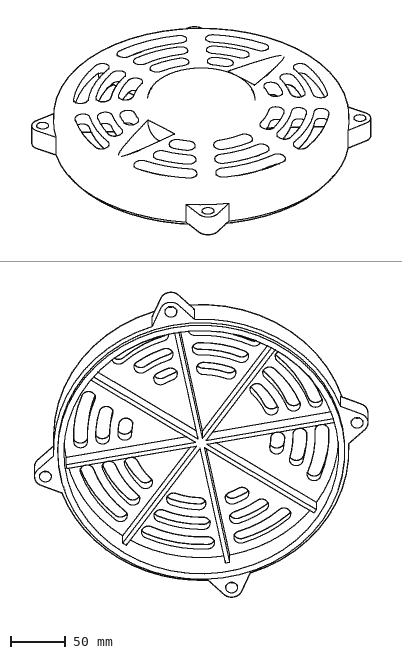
import cadquery as cq
import math

rim_radius = 135.0
lip_radius = 131.2
lip_height = 4.9
cavity_radius = 125.5
cavity_height = 31.5
shoulder_radius = 10.0
shoulder_start_height = 31.0
cone_angle = math.radians(4)

total_height = 52.0
hub_radius = 49.1
hub_root_radius = 3.0

slot_width = 12.5
slot_draft = math.radians(3)
slot_rows = (110.5, 90.2, 70.0)
side_spoke_half_width = 9.2
dent_spoke_half_widths = (18.4, 22.1, 22.1)

rib_thickness = 4.0
rib_depth = 14.3
rib_count = 8

lug_count = 4
lug_hole_offset = 102.5
lug_hole_diameter = 10.8
lug_tip_radius = 10.0
lug_flank_angle = math.radians(33.5)
lug_top = 24.5
lug_root_radius = 131.0

dent_inner_floor = 32.7
dent_outer_floor = 42.0
dent_inner_y = 57.5
dent_outer_y = 111.2
dent_inner_radius = 17.0
dent_outer_radius = 6.0
dent_wall_tilt = math.radians(15)


def polar(radius, angle):
    return (radius * math.cos(angle), radius * math.sin(angle))


def make_cover():
    """Revolved shell: stepped rim, rounded shoulder, shallow cone and raised hub."""
    shoulder_center = rim_radius - shoulder_radius
    shoulder_end_angle = math.pi / 2 - cone_angle

    def on_shoulder(angle):
        x, z = polar(shoulder_radius, angle)
        return (shoulder_center + x, shoulder_start_height + z)

    cone_outer = on_shoulder(shoulder_end_angle)
    root_offset_x, root_offset_z = polar(hub_root_radius, shoulder_end_angle)
    cone_inner_radius = hub_radius + hub_root_radius - root_offset_x
    cone_rise = (cone_outer[0] - cone_inner_radius) * math.tan(cone_angle)
    cone_inner = (cone_inner_radius, cone_outer[1] + cone_rise)
    hub_edge = (hub_radius, cone_inner[1] + root_offset_z)
    hub_round = total_height - hub_edge[1]
    hub_top = (hub_radius - hub_round, total_height)
    return (
        cq.Workplane("XZ")
        .moveTo(0, cavity_height)
        .lineTo(cavity_radius, cavity_height)
        .lineTo(cavity_radius, 0)
        .lineTo(lip_radius, 0)
        .lineTo(lip_radius, lip_height)
        .lineTo(rim_radius, lip_height)
        .lineTo(rim_radius, shoulder_start_height)
        .threePointArc(on_shoulder(shoulder_end_angle / 2), cone_outer)
        .lineTo(*cone_inner)
        .radiusArc(hub_edge, hub_root_radius)
        .radiusArc(hub_top, -hub_round)
        .lineTo(0, total_height)
        .close()
        .revolve(360, (0, 0, 0), (0, 1, 0))
    )


def slot_outline(row_radius, start, end, half_width, height):
    """Closed wire around an arc of the row, with a round cap at each end."""
    inner = row_radius - half_width
    outer = row_radius + half_width
    middle = (start + end) / 2
    start_x, start_y = polar(row_radius, start)
    end_x, end_y = polar(row_radius, end)
    start_tip = (start_x + half_width * math.sin(start), start_y - half_width * math.cos(start))
    end_tip = (end_x - half_width * math.sin(end), end_y + half_width * math.cos(end))
    return (
        cq.Workplane("XY", origin=(0, 0, height))
        .moveTo(*polar(inner, start))
        .threePointArc(start_tip, polar(outer, start))
        .threePointArc(polar(outer, middle), polar(outer, end))
        .threePointArc(end_tip, polar(inner, end))
        .threePointArc(polar(inner, middle), polar(inner, start))
        .close()
        .val()
    )


def make_slot(row_radius, start_clearance, end_clearance):
    """Curved slot between the +X spoke and the 45 degree spoke, widening upward."""
    half_width = slot_width / 2
    start = math.asin((start_clearance + half_width) / row_radius)
    end = math.pi / 4 - math.asin((end_clearance + half_width) / row_radius)
    top_half_width = half_width + (total_height - cavity_height) * math.tan(slot_draft)
    bottom = slot_outline(row_radius, start, end, half_width, cavity_height)
    top = slot_outline(row_radius, start, end, top_half_width, total_height)
    return cq.Workplane(cq.Solid.makeLoft([bottom, top], True))


def make_slots():
    """Slots of one quarter, copied by symmetry into all four."""
    slots = []
    for row_radius, dent_clearance in zip(slot_rows, dent_spoke_half_widths):
        beside_x = make_slot(row_radius, side_spoke_half_width, side_spoke_half_width)
        beside_y = make_slot(row_radius, side_spoke_half_width, dent_clearance)
        beside_y = beside_y.rotate((0, 0, 0), (0, 0, 1), 45)
        for slot in (beside_x, beside_y):
            opposite = slot.mirror("YZ")
            slots += [slot, opposite, slot.mirror("XZ"), opposite.mirror("XZ")]
    return slots


def make_ribs():
    """Thin radial ribs under the cone, each pair a bar through the center."""
    rib_length = cavity_radius + lip_radius
    ribs = cq.Workplane("XY")
    for index in range(rib_count // 2):
        rib = (
            cq.Workplane("XY", origin=(0, 0, cavity_height - rib_depth))
            .rect(rib_length, rib_thickness)
            .extrude(rib_depth)
            .rotate((0, 0, 0), (0, 0, 1), 360 / rib_count * index)
        )
        ribs = ribs.union(rib)
    return ribs


def make_lug():
    """Lug pointing along +X: round tip with two flanks widening into the rim."""
    center = lug_hole_offset * math.sqrt(2)
    tangent_x = center + lug_tip_radius * math.sin(lug_flank_angle)
    tangent_y = lug_tip_radius * math.cos(lug_flank_angle)
    root_y = tangent_y + (tangent_x - lug_root_radius) * math.tan(lug_flank_angle)
    hole = cq.Workplane("XY").center(center, 0).circle(lug_hole_diameter / 2).extrude(lug_top)
    return (
        cq.Workplane("XY", origin=(0, 0, lip_height))
        .moveTo(lug_root_radius, -root_y)
        .lineTo(tangent_x, -tangent_y)
        .threePointArc((center + lug_tip_radius, 0), (tangent_x, tangent_y))
        .lineTo(lug_root_radius, root_y)
        .close()
        .extrude(lug_top - lip_height)
        .cut(hole)
    )


def make_dent():
    """Tapered round-bottomed cutter, deepest at its sloped end wall near the hub."""
    def section(y, floor, radius, tilt):
        """Circle standing on the dent floor, its plane leaning toward the hub."""
        up = cq.Vector(0, -math.sin(tilt), math.cos(tilt))
        normal = cq.Vector(0, math.cos(tilt), math.sin(tilt))
        return cq.Wire.makeCircle(radius, cq.Vector(0, y, floor) + up * radius, normal)

    inner = section(dent_inner_y, dent_inner_floor, dent_inner_radius, dent_wall_tilt)
    outer = section(dent_outer_y, dent_outer_floor, dent_outer_radius, 0)
    return cq.Workplane(cq.Solid.makeLoft([inner, outer], True))


result = make_cover().union(make_ribs())
for slot in make_slots():
    result = result.cut(slot)
for index in range(lug_count):
    lug_angle = 360 / lug_count * (index + 0.5)
    result = result.union(make_lug().rotate((0, 0, 0), (0, 0, 1), lug_angle))
dent = make_dent()
result = result.cut(dent).cut(dent.mirror("XZ"))